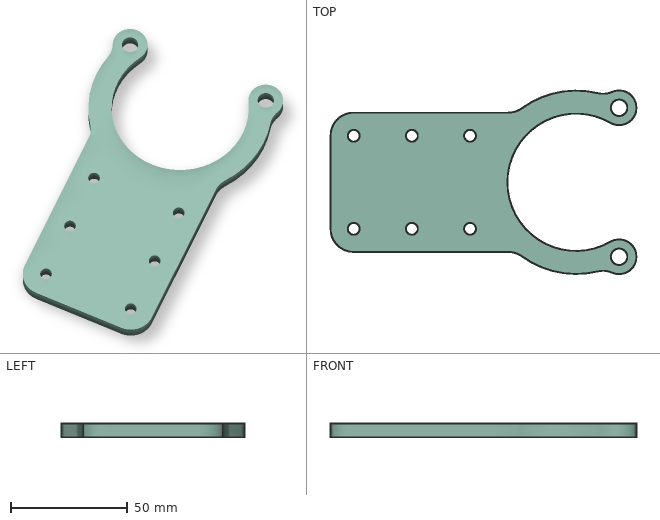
import cadquery as cq
import math

length = 131.7
thickness = 6.0
plate_width = 60.0
blend_radius = 10.0
bore_radius = 29.5
ring_radius = 39.5
lug_radius = 7.5
lug_angle = math.radians(60)
lug_hole_diameter = 7.0
mount_hole_diameter = 5.0
mount_hole_edge = 10.0
mount_hole_pitch = 25.0
mount_hole_columns = 3
mount_hole_spacing = 40.0

lug_distance = bore_radius + lug_radius
lug_dx = lug_distance * math.cos(lug_angle)
lug_y = lug_distance * math.sin(lug_angle)
lug_x = length - lug_radius
ring_x = lug_x - lug_dx
half_width = plate_width / 2

ring_center = (ring_x, 0)
lug_center = (lug_x, lug_y)


def toward(start, target, distance):
    """Point at a distance from start, in the direction of target."""
    span = math.dist(start, target)
    return tuple(s + (t - s) * distance / span for s, t in zip(start, target))


def arc_middle(center, start, end):
    """Middle point of the shorter arc about center from start to end."""
    chord_middle = tuple((s + e) / 2 for s, e in zip(start, end))
    return toward(center, chord_middle, math.dist(center, start))


neck_y = half_width + blend_radius
neck_dx = math.sqrt((ring_radius + blend_radius) ** 2 - neck_y**2)
neck_center = (ring_x - neck_dx, neck_y)
neck_start = (neck_center[0], half_width)
neck_end = toward(ring_center, neck_center, ring_radius)

ring_to_blend = ring_radius + blend_radius
lug_to_blend = lug_radius + blend_radius
blend_cosine = (ring_to_blend**2 + lug_distance**2 - lug_to_blend**2) / (2 * ring_to_blend * lug_distance)
blend_angle = lug_angle + math.acos(blend_cosine)
blend_center = (
    ring_x + ring_to_blend * math.cos(blend_angle),
    ring_to_blend * math.sin(blend_angle),
)
blend_start = toward(ring_center, blend_center, ring_radius)
blend_end = toward(lug_center, blend_center, lug_radius)

bore_end = toward(ring_center, lug_center, bore_radius)


def mirrored(point):
    """Reflect a point across the X axis."""
    return (point[0], -point[1])


arm_arcs = [
    (neck_start, arc_middle(neck_center, neck_start, neck_end), neck_end),
    (neck_end, arc_middle(ring_center, neck_end, blend_start), blend_start),
    (blend_start, arc_middle(blend_center, blend_start, blend_end), blend_end),
    (blend_end, (length, lug_y), bore_end),
]

outline = cq.Workplane("XY").moveTo(0, -half_width).lineTo(0, half_width).lineTo(*neck_start)
for _, middle, end in arm_arcs:
    outline = outline.threePointArc(middle, end)
outline = outline.threePointArc((ring_x - bore_radius, 0), mirrored(bore_end))
for start, middle, _ in reversed(arm_arcs):
    outline = outline.threePointArc(mirrored(middle), mirrored(start))
body = outline.close().extrude(thickness)

body = body.edges("|Z and <X").fillet(blend_radius)

mount_points = [
    (mount_hole_edge + column * mount_hole_pitch, side * mount_hole_spacing / 2)
    for column in range(mount_hole_columns)
    for side in (-1, 1)
]
lug_points = [(lug_x, side * lug_y) for side in (-1, 1)]


def through_holes(points, diameter):
    """Cylinders that cut holes through the full thickness."""
    return cq.Workplane("XY").pushPoints(points).circle(diameter / 2).extrude(thickness)


result = body.cut(through_holes(mount_points, mount_hole_diameter))
result = result.cut(through_holes(lug_points, lug_hole_diameter))